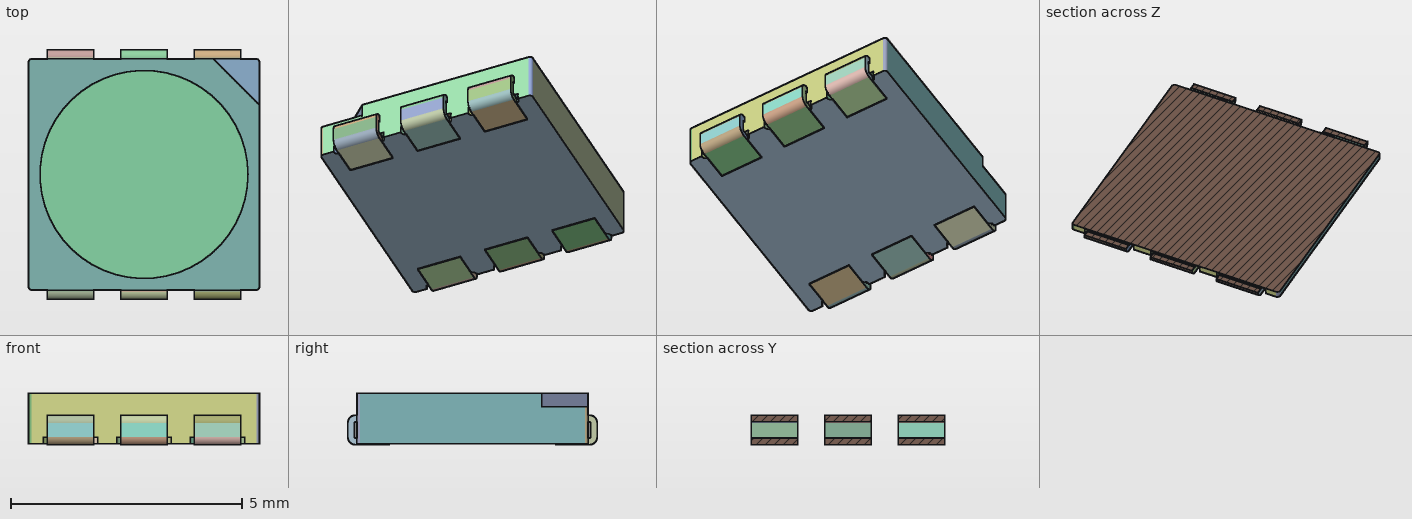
import cadquery as cq

housing_side = 5.0
housing_height = 1.1
edge_radius = 0.07

marker_leg = 1.0
marker_depth = 0.3

lens_diameter = 4.5
lens_depth = 0.6

overall_length = 5.4
lead_count = 3
lead_pitch = 1.59
lead_width = 1.01
lead_thickness = 0.15
lead_standoff = 0.02
lead_top = 0.625
lead_foot_length = 0.7
lead_bend_inner_radius = 0.02
lead_bend_outer_radius = lead_bend_inner_radius + lead_thickness

notch_margin = 0.085
notch_width = lead_width + 2 * notch_margin
notch_depth = 0.12
notch_corner_radius = 0.1
notch_height = 0.14

half_side = housing_side / 2


def make_block():
    """Square block with rounded vertical edges."""
    block = cq.Workplane("XY").rect(housing_side, housing_side).extrude(housing_height)
    return block.edges("|Z").fillet(edge_radius)


def make_corner_marker():
    """Triangular prism that lowers the +X +Y corner of the top face."""
    return (
        cq.Workplane("XY")
        .workplane(offset=housing_height - marker_depth)
        .moveTo(half_side - marker_leg, half_side)
        .lineTo(half_side, half_side)
        .lineTo(half_side, half_side - marker_leg)
        .close()
        .extrude(marker_depth)
    )


def make_lens():
    """Flat disc that fills the round recess of the housing."""
    return (
        cq.Workplane("XY")
        .workplane(offset=housing_height - lens_depth)
        .circle(lens_diameter / 2)
        .extrude(lens_depth)
    )


def make_notch():
    """Cutter for the notch of the middle lead on the -Y side, with rounded back corners."""
    return (
        cq.Workplane("XY")
        .center(0, -half_side + notch_depth / 2)
        .rect(notch_width, notch_depth)
        .extrude(notch_height)
        .edges("|Z and >Y")
        .fillet(notch_corner_radius)
    )


def make_lead():
    """Middle lead on the -Y side: out of the wall, down, and back under the housing."""
    outer_y = -overall_length / 2
    inner_y = outer_y + lead_thickness
    bend_y = outer_y + lead_bend_outer_radius
    root_y = -half_side + notch_depth
    foot_end_y = -half_side + lead_foot_length
    foot_bottom = -lead_standoff
    foot_top = foot_bottom + lead_thickness
    arm_bottom = lead_top - lead_thickness
    upper_bend_z = lead_top - lead_bend_outer_radius
    lower_bend_z = foot_bottom + lead_bend_outer_radius
    return (
        cq.Workplane("YZ")
        .moveTo(root_y, lead_top)
        .lineTo(bend_y, lead_top)
        .radiusArc((outer_y, upper_bend_z), -lead_bend_outer_radius)
        .lineTo(outer_y, lower_bend_z)
        .radiusArc((bend_y, foot_bottom), -lead_bend_outer_radius)
        .lineTo(foot_end_y, foot_bottom)
        .lineTo(foot_end_y, foot_top)
        .lineTo(bend_y, foot_top)
        .radiusArc((inner_y, lower_bend_z), lead_bend_inner_radius)
        .lineTo(inner_y, upper_bend_z)
        .radiusArc((bend_y, arm_bottom), lead_bend_inner_radius)
        .lineTo(root_y, arm_bottom)
        .close()
        .extrude(lead_width / 2, both=True)
    )


def place_in_rows(shape):
    """Copies of a -Y side shape at every lead position on both sides."""
    copies = []
    for side_angle in (0, 180):
        for index in range(lead_count):
            x = (index - (lead_count - 1) / 2) * lead_pitch
            placed = shape.translate((x, 0, 0))
            copies.append(placed.rotate((0, 0, 0), (0, 0, 1), side_angle))
    return copies


def make_housing(lens):
    """Block with its marker, recess and notches, joined to the moulded-in leads."""
    housing = make_block().cut(make_corner_marker()).cut(lens)
    for notch in place_in_rows(make_notch()):
        housing = housing.cut(notch)
    for lead in place_in_rows(make_lead()):
        housing = housing.union(lead)
    return housing


lens = make_lens()
housing = make_housing(lens)

result = cq.Compound.makeCompound([housing.val(), lens.val()])